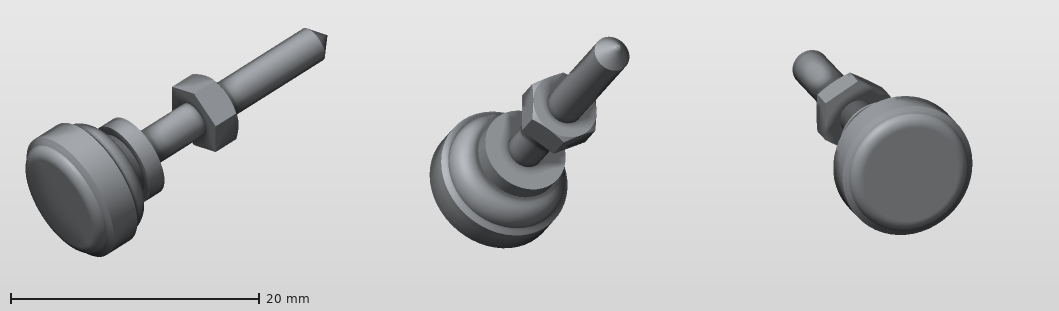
import cadquery as cq
import math

LENGTH = 28.0
RIM_START = 1.05
RIM_END = 3.5
DOME_START = 3.85
NECK_START = 5.52
FLANGE_START = 6.5
STUD_START = 8.0
NUT_START = 14.0

RIM_RADIUS = 5.502
DOME_RADIUS = 5.0
DOME_ROUND = NECK_START - DOME_START
FACE_RADIUS = 4.03
FACE_ROUND = 1.0
FACE_ROUND_END = 0.7

NECK_RADIUS = 2.75
FLANGE_RADIUS = 3.5
STUD_RADIUS = 1.5
TIP_LENGTH = STUD_RADIUS

NUT_FLATS = 5.5
NUT_SIDES = 6
NUT_HEIGHT = 2.4
NUT_CHAMFER_ANGLE = 30.0


def revolve_about_y(profile):
    """Close an outline that starts and ends on the Y axis and spin it around that axis."""
    return profile.close().revolve(360, (0, 0, 0), (0, 1, 0))


def point_on_arc(center, radius, degrees):
    """Point of a circle in the XY plane at an angle from +X."""
    angle = math.radians(degrees)
    return center[0] + radius * math.cos(angle), center[1] + radius * math.sin(angle)


def make_stud():
    """Knob, neck, flange and pointed stud as one turned body, pointing along +Y."""
    face_center = (FACE_RADIUS, FACE_ROUND)
    face_end_angle = -math.degrees(math.asin((FACE_ROUND - FACE_ROUND_END) / FACE_ROUND))
    face_middle_angle = (face_end_angle - 90) / 2
    dome_center = (DOME_RADIUS - DOME_ROUND, DOME_START)

    profile = (
        cq.Workplane("XY")
        .lineTo(FACE_RADIUS, 0)
        .threePointArc(
            point_on_arc(face_center, FACE_ROUND, face_middle_angle),
            point_on_arc(face_center, FACE_ROUND, face_end_angle),
        )
        .lineTo(RIM_RADIUS, RIM_START)
        .lineTo(RIM_RADIUS, RIM_END)
        .lineTo(DOME_RADIUS, DOME_START)
        .threePointArc(
            point_on_arc(dome_center, DOME_ROUND, 45),
            (DOME_RADIUS - DOME_ROUND, NECK_START),
        )
        .lineTo(NECK_RADIUS, NECK_START)
        .lineTo(NECK_RADIUS, FLANGE_START)
        .lineTo(FLANGE_RADIUS, FLANGE_START)
        .lineTo(FLANGE_RADIUS, STUD_START)
        .lineTo(STUD_RADIUS, STUD_START)
        .lineTo(STUD_RADIUS, LENGTH - TIP_LENGTH)
        .lineTo(0, LENGTH)
    )
    return revolve_about_y(profile)


def make_nut():
    """Hexagonal nut with flats facing X, chamfered on the side toward the tip."""
    corner_radius = NUT_FLATS / math.sqrt(3)
    flat_radius = NUT_FLATS / 2
    nut_end = NUT_START + NUT_HEIGHT

    corners = [point_on_arc((0, 0), corner_radius, (side + 0.5) * 360 / NUT_SIDES) for side in range(NUT_SIDES)]
    hexagon = (
        cq.Workplane("XZ", origin=(0, NUT_START, 0))
        .polyline(corners)
        .close()
        .circle(STUD_RADIUS)
        .extrude(-NUT_HEIGHT)
    )

    chamfer_depth = (corner_radius - flat_radius) * math.tan(math.radians(NUT_CHAMFER_ANGLE))
    envelope = revolve_about_y(
        cq.Workplane("XY")
        .moveTo(0, NUT_START)
        .lineTo(corner_radius, NUT_START)
        .lineTo(corner_radius, nut_end - chamfer_depth)
        .lineTo(flat_radius, nut_end)
        .lineTo(0, nut_end)
    )
    return hexagon.intersect(envelope)


stud = make_stud()
nut = make_nut()

result = cq.Compound.makeCompound([stud.val(), nut.solids().val()])